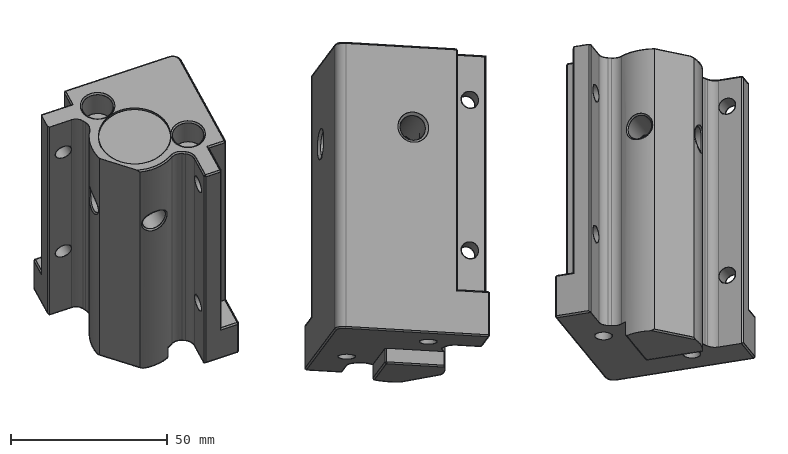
import cadquery as cq
import math

side = 50.0
body_height = 95.0
leg_thickness = 12.0
corner_radius = 3.0
edge_chamfer = 0.5

housing_center = 26.0
housing_radius = 14.5
housing_side = housing_center + housing_radius
flat_sum = 70.0

hollow_radius = 3.5
hollow_center = 16.5
hollow_slope = math.radians(28)

boss_start = 20.0
boss_height = 5.0

notch_depth = 6.0
notch_start = 39.5
notch_floor = 15.0
leg_hole_diameter = 5.6
leg_hole_place = 44.7
y_leg_hole_heights = (25.0, 85.0)
x_leg_hole_heights = (30.0, 80.0)

mount_near = 10.0
mount_far = 32.0
mount_diameter = 5.6
counterbore_diameter = 10.0
counterbore_depth = 10.0
counterbore_chamfer = 0.5

recess_diameter = 23.0
recess_depth = 0.8

cross_place = 25.0
cross_height = 68.0
cross_diameter = 8.2
cross_mouth_diameter = 10.0

tolerance = 0.01


def mirrored(point):
    """Reflect a point about the diagonal y = -x."""
    return (-point[1], -point[0])


def on_circle(center, radius, angle):
    """Point at an angle measured from +Y towards +X."""
    return (center[0] + radius * math.sin(angle), center[1] + radius * math.cos(angle))


def hollow_points():
    """Points of the hollow beside the lower leg, from the leg to the housing."""
    housing = (housing_center, -housing_center)
    reach = housing_radius + hollow_radius
    blend = math.asin((housing_center - hollow_center) / reach)
    near_housing = on_circle(housing, reach, math.pi + blend)
    leg_arc_x = leg_thickness + hollow_radius
    leg_arc_y = near_housing[1] - (hollow_center - leg_arc_x) * math.tan(hollow_slope)
    near_leg = (leg_arc_x, leg_arc_y)
    leg_angle = -math.pi / 2
    leg_end = on_circle(near_leg, hollow_radius, leg_angle)
    leg_mid = on_circle(near_leg, hollow_radius, (leg_angle - hollow_slope) / 2)
    flat_start = on_circle(near_leg, hollow_radius, -hollow_slope)
    flat_end = on_circle(near_housing, hollow_radius, -hollow_slope)
    crest = on_circle(near_housing, hollow_radius, 0)
    housing_end = on_circle(near_housing, hollow_radius, blend)
    return leg_end, leg_mid, flat_start, flat_end, crest, housing_end


def body_outline():
    leg_end, leg_mid, flat_start, flat_end, crest, housing_end = hollow_points()
    housing = (housing_center, -housing_center)
    flat_distance = (flat_sum - 2 * housing_center) / math.sqrt(2)
    half_flat = math.acos(flat_distance / housing_radius)
    toward_flat = math.radians(135)
    flat_angle = toward_flat + half_flat
    flat_corner = on_circle(housing, housing_radius, flat_angle)
    housing_mid = on_circle(housing, housing_radius, math.pi)
    return (
        cq.Workplane("XY")
        .moveTo(0, 0)
        .lineTo(0, -side)
        .lineTo(leg_thickness, -side)
        .lineTo(*leg_end)
        .threePointArc(leg_mid, flat_start)
        .lineTo(*flat_end)
        .threePointArc(crest, housing_end)
        .threePointArc(housing_mid, flat_corner)
        .lineTo(*mirrored(flat_corner))
        .threePointArc(mirrored(housing_mid), mirrored(housing_end))
        .threePointArc(mirrored(crest), mirrored(flat_end))
        .lineTo(*mirrored(flat_start))
        .threePointArc(mirrored(leg_mid), mirrored(leg_end))
        .lineTo(side, -leg_thickness)
        .lineTo(side, 0)
        .close()
    )


def box_between(low, high):
    size = [b - a for a, b in zip(low, high)]
    return cq.Workplane("XY").box(*size, centered=False).translate(low)


def is_body_chamfer(edge):
    """Pick the outer edges of the legs, the notches and the bottom, and the top rim up to the flat."""
    spot = edge.Center()
    box = edge.BoundingBox()
    near = min(spot.x, -spot.y)
    far = max(spot.x, -spot.y)
    on_outside = near < tolerance or far > side - tolerance
    on_rounded_corner = far < corner_radius + tolerance
    if box.zmin > body_height - tolerance:
        beside_notch = near < notch_depth + tolerance
        on_x_side = spot.x + spot.y > tolerance
        return beside_notch or on_x_side
    if box.zmax < tolerance:
        return on_outside or on_rounded_corner
    return on_outside and not on_rounded_corner


def make_body():
    body = body_outline().extrude(body_height)
    body = body.cut(box_between((0, -side, notch_floor), (notch_depth, -notch_start, body_height)))
    body = body.cut(box_between((notch_start, -notch_depth, notch_floor), (side, 0, body_height)))
    outer_corner = cq.selectors.NearestToPointSelector((0, 0, body_height / 2))
    body = body.edges("|Z").edges(outer_corner).fillet(corner_radius)
    return body.edges().filter(is_body_chamfer).chamfer(edge_chamfer)


def make_boss():
    boss = body_outline().extrude(-boss_height)
    boss = boss.intersect(box_between((boss_start, -side, -boss_height), (side, -boss_start, 0)))
    inner_corner = cq.selectors.NearestToPointSelector((boss_start, -boss_start, -boss_height / 2))
    boss = boss.edges("|Z").edges(inner_corner).chamfer(edge_chamfer)
    return boss.faces("<Z").edges("%LINE").chamfer(edge_chamfer)


def cylinder(start, direction, diameter, length):
    solid = cq.Solid.makeCylinder(diameter / 2, length, cq.Vector(start), cq.Vector(direction))
    return cq.Workplane(obj=solid)


def cone(start, direction, start_diameter, end_diameter):
    """45 degree chamfer of a hole mouth."""
    depth = (start_diameter - end_diameter) / 2
    radii = (start_diameter / 2, end_diameter / 2)
    solid = cq.Solid.makeCone(*radii, depth, cq.Vector(start), cq.Vector(direction))
    return cq.Workplane(obj=solid)


def mounting_hole(x, y):
    top = (x, y, body_height)
    down = (0, 0, -1)
    mouth_diameter = counterbore_diameter + 2 * counterbore_chamfer
    hole = cylinder(top, down, mount_diameter, body_height)
    hole = hole.union(cylinder(top, down, counterbore_diameter, counterbore_depth))
    return hole.union(cone(top, down, mouth_diameter, counterbore_diameter))


def cross_hole(start, direction):
    """Hole from an outer face through the housing, countersunk at the outer face."""
    hole = cylinder(start, direction, cross_diameter, housing_side)
    return hole.union(cone(start, direction, cross_mouth_diameter, cross_diameter))


part = make_body().union(make_boss())

for place in ((mount_near, -mount_far), (mount_far, -mount_near)):
    part = part.cut(mounting_hole(*place))

recess_center = (housing_center, -housing_center, body_height)
part = part.cut(cylinder(recess_center, (0, 0, -1), recess_diameter, recess_depth))

for height in x_leg_hole_heights:
    part = part.cut(cylinder((0, -leg_hole_place, height), (1, 0, 0), leg_hole_diameter, leg_thickness))
for height in y_leg_hole_heights:
    part = part.cut(cylinder((leg_hole_place, 0, height), (0, -1, 0), leg_hole_diameter, leg_thickness))

part = part.cut(cross_hole((0, -cross_place, cross_height), (1, 0, 0)))
part = part.cut(cross_hole((cross_place, 0, cross_height), (0, -1, 0)))

for exit_point in ((housing_side, -cross_place, cross_height), (cross_place, -housing_side, cross_height)):
    exit_edge = cq.selectors.NearestToPointSelector(exit_point)
    part = part.edges(exit_edge).chamfer(edge_chamfer)

result = part